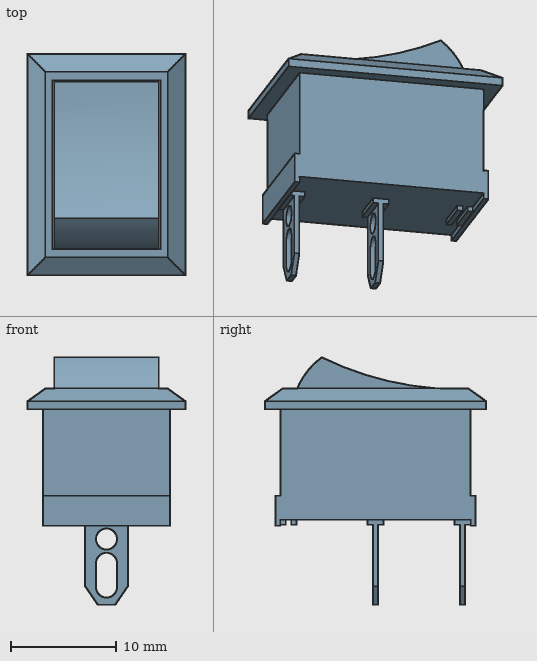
import cadquery as cq

body_bottom = 8.05
skirt_bottom = 7.5
skirt_top = 10.36
flange_bottom = 18.55
bevel_start = 19.32
flange_top = 20.55
rocker_peak = 23.5

flange_width = 15.0
flange_length = 21.0
bevel_inset = 1.7

body_width = 12.08
body_length = 18.05
skirt_thickness = 0.47

rocker_width = 9.92
rocker_back = 7.87
rocker_back_top = 20.5
rocker_peak_y = -5.1
dish_mid_y = 1.22
dish_mid_z = 21.25
nose_mid_y = -6.67
nose_mid_z = 21.9
nose_end_y = -7.97
well_width = 10.25
well_length = 16.03
well_floor = flange_bottom

terminal_pitch = 8.25
terminal_thickness = 0.5
terminal_width = 4.1
tip_width = 1.65
taper_height = 1.79
hole_diameter = 1.97
hole_height = 6.25
slot_height = 2.82
slot_length = 4.23

pad_length = 1.55
pad_bottom = 7.6


def block(width, length, bottom, top, center_y=0):
    """Box centred in X, spanning the given heights."""
    box = cq.Workplane("XY").box(width, length, top - bottom, centered=(True, True, False))
    return box.translate((0, center_y, bottom))


def make_flange():
    base = block(flange_width, flange_length, flange_bottom, bevel_start)
    bevel = (
        cq.Workplane("XY", origin=(0, 0, bevel_start))
        .rect(flange_width, flange_length)
        .workplane(offset=flange_top - bevel_start)
        .rect(flange_width - 2 * bevel_inset, flange_length - 2 * bevel_inset)
        .loft(ruled=True)
    )
    well = block(well_width, well_length, well_floor, flange_top)
    return base.union(bevel).cut(well)


def make_body():
    body = block(body_width, body_length, body_bottom, flange_bottom)
    for side in (-1, 1):
        skirt_y = side * (body_length + skirt_thickness) / 2
        body = body.union(block(body_width, skirt_thickness, skirt_bottom, skirt_top, skirt_y))
    return body


def make_rocker():
    """Rocker with a dished top and a rounded nose at its raised end."""
    return (
        cq.Workplane("YZ")
        .moveTo(rocker_back, well_floor)
        .lineTo(rocker_back, rocker_back_top)
        .threePointArc((dish_mid_y, dish_mid_z), (rocker_peak_y, rocker_peak))
        .threePointArc((nose_mid_y, nose_mid_z), (nose_end_y, well_floor))
        .close()
        .extrude(rocker_width / 2, both=True)
    )


def make_pad(center_y):
    return block(terminal_width, pad_length, pad_bottom, body_bottom, center_y)


def make_terminal(center_y):
    """Pointed solder blade with a round hole above a rounded slot."""
    half_width = terminal_width / 2
    half_tip = tip_width / 2
    blade = (
        cq.Workplane("XZ")
        .polyline([
            (-half_tip, 0),
            (half_tip, 0),
            (half_width, taper_height),
            (half_width, body_bottom),
            (-half_width, body_bottom),
            (-half_width, taper_height),
        ])
        .close()
        .extrude(terminal_thickness / 2, both=True)
    )
    hole = (
        cq.Workplane("XZ")
        .center(0, hole_height)
        .circle(hole_diameter / 2)
        .extrude(terminal_thickness, both=True)
    )
    slot = (
        cq.Workplane("XZ")
        .center(0, slot_height)
        .slot2D(slot_length, hole_diameter, 90)
        .extrude(terminal_thickness, both=True)
    )
    return blade.cut(hole).cut(slot).translate((0, center_y, 0))


result = make_body().union(make_flange()).union(make_rocker())

for pad_y in (-terminal_pitch, 0, terminal_pitch):
    result = result.union(make_pad(pad_y))

for terminal_y in (0, terminal_pitch):
    result = result.union(make_terminal(terminal_y))

empty_slot = block(terminal_width, terminal_thickness, pad_bottom, body_bottom, -terminal_pitch)
result = result.cut(empty_slot)